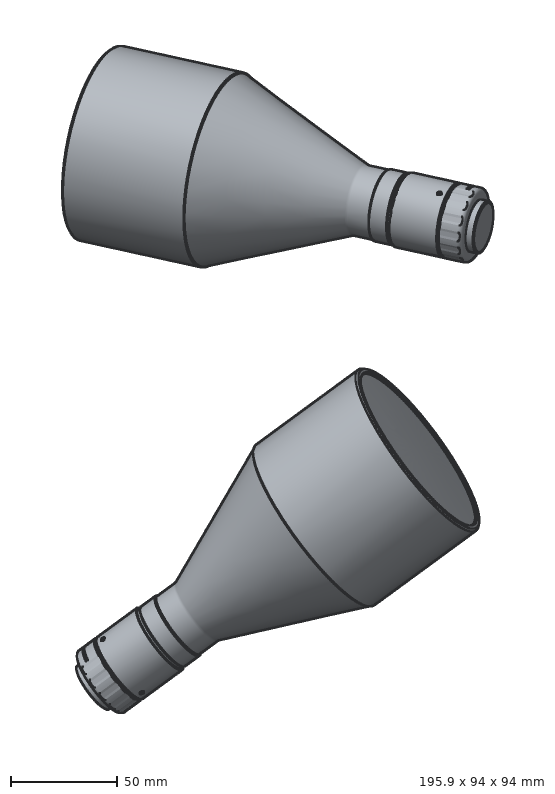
import math

import cadquery as cq

TOTAL_LENGTH = 195.92
BARREL_RADIUS = 47.0

RIM_CHAMFER = 1.0
BARREL_END_X = 62.8
BARREL_END_CHAMFER = 0.5
LENS_RADIUS = 43.8
LENS_EDGE_DEPTH = 1.0
LENS_SAG = 0.7
RECESS_CHAMFER = 0.4

NECK_RADIUS = 17.0
NECK_START_X = 132.9
NECK_BLEND_RADIUS = 3.0

COLLAR_START_X = 144.1
COLLAR_END_X = 153.9
COLLAR_RADIUS = 17.5
COLLAR_START_CHAMFER = 0.6
COLLAR_END_CHAMFER = 0.5

BODY_START_X = 155.4
BODY_END_X = 179.2
BODY_RADIUS = 18.1
GAP_RADIUS = 15.8

RING_START_X = 180.0
RING_CHAMFER = 0.6
RING_END_ROUND = 2.0

MOUNT_RADIUS = 12.7
MOUNT_LENGTH = 4.0
MOUNT_CHAMFER_LENGTH = 0.4
MOUNT_CHAMFER_DROP = 0.9
RING_END_X = TOTAL_LENGTH - MOUNT_LENGTH

FLUTE_COUNT = 10
FLUTE_PITCH = 24.7
FIRST_FLUTE_ANGLE = 4.9
FLUTE_DEPTH = 0.3
FLUTE_FLOOR_WIDTH = 2.4
FLUTE_TOP_WIDTH = 4.6

CLAMP_ANGLE = FIRST_FLUTE_ANGLE + ((FLUTE_COUNT - 1) * FLUTE_PITCH - 360) / 2
SLOT_START_X = 186.3
SLOT_WIDTH = 1.2
SLOT_DEPTH = 2.5
SLOT_HALF_ANGLE = 57.0
SCREW_X = 183.3
SCREW_SEAT_RADIUS = 2.3
SCREW_SEAT_DEPTH = 0.5
SOCKET_WIDTH = 2.0
SOCKET_DEPTH = 1.5

SET_SCREW_COUNT = 3
SET_SCREW_X = 175.6
FIRST_SET_SCREW_ANGLE = 18.0
SET_SCREW_RADIUS = 1.1
SET_SCREW_DEPTH = 1.5

CLEARANCE = 1.0


def turn(shape, angle):
    """Turn a shape about the X axis from +Z towards -Y."""
    return shape.rotate((0, 0, 0), (1, 0, 0), angle)


def turned_body():
    """Whole outline revolved about the X axis."""
    cone_start_radius = BARREL_RADIUS - BARREL_END_CHAMFER
    cone_angle = math.atan2(cone_start_radius - NECK_RADIUS, NECK_START_X - BARREL_END_X)
    tangent_length = NECK_BLEND_RADIUS * math.tan(cone_angle / 2)
    half_angle = cone_angle / 2
    blend_end_x = NECK_START_X + tangent_length
    blend_center_radius = NECK_RADIUS + NECK_BLEND_RADIUS
    blend_start = (
        NECK_START_X - tangent_length * math.cos(cone_angle),
        NECK_RADIUS + tangent_length * math.sin(cone_angle),
    )
    blend_middle = (
        blend_end_x - NECK_BLEND_RADIUS * math.sin(half_angle),
        blend_center_radius - NECK_BLEND_RADIUS * math.cos(half_angle),
    )
    lens_sphere_radius = (LENS_RADIUS**2 + LENS_SAG**2) / (2 * LENS_SAG)
    lens_middle_radius = LENS_RADIUS / 2
    lens_middle_drop = lens_sphere_radius - math.sqrt(lens_sphere_radius**2 - lens_middle_radius**2)
    lens_apex_x = LENS_EDGE_DEPTH - LENS_SAG
    round_middle = RING_END_ROUND * (1 - math.sqrt(0.5))

    outline = (
        cq.Workplane("XY")
        .moveTo(lens_apex_x, 0)
        .threePointArc((lens_apex_x + lens_middle_drop, lens_middle_radius), (LENS_EDGE_DEPTH, LENS_RADIUS))
        .lineTo(RECESS_CHAMFER, LENS_RADIUS)
        .lineTo(0, LENS_RADIUS + RECESS_CHAMFER)
        .lineTo(0, BARREL_RADIUS - RIM_CHAMFER)
        .lineTo(RIM_CHAMFER, BARREL_RADIUS)
        .lineTo(BARREL_END_X - BARREL_END_CHAMFER, BARREL_RADIUS)
        .lineTo(BARREL_END_X, cone_start_radius)
        .lineTo(*blend_start)
        .threePointArc(blend_middle, (blend_end_x, NECK_RADIUS))
        .lineTo(COLLAR_START_X, NECK_RADIUS)
        .lineTo(COLLAR_START_X + COLLAR_START_CHAMFER, COLLAR_RADIUS)
        .lineTo(COLLAR_END_X - COLLAR_END_CHAMFER, COLLAR_RADIUS)
        .lineTo(COLLAR_END_X, COLLAR_RADIUS - COLLAR_END_CHAMFER)
        .lineTo(BODY_START_X, COLLAR_RADIUS - COLLAR_END_CHAMFER)
        .lineTo(BODY_START_X, BODY_RADIUS)
        .lineTo(BODY_END_X, BODY_RADIUS)
        .lineTo(BODY_END_X, GAP_RADIUS)
        .lineTo(RING_START_X, GAP_RADIUS)
        .lineTo(RING_START_X, BODY_RADIUS - RING_CHAMFER)
        .lineTo(RING_START_X + RING_CHAMFER, BODY_RADIUS)
        .lineTo(RING_END_X - RING_END_ROUND, BODY_RADIUS)
        .threePointArc(
            (RING_END_X - round_middle, BODY_RADIUS - round_middle),
            (RING_END_X, BODY_RADIUS - RING_END_ROUND),
        )
        .lineTo(RING_END_X, MOUNT_RADIUS)
        .lineTo(TOTAL_LENGTH - MOUNT_CHAMFER_LENGTH, MOUNT_RADIUS)
        .lineTo(TOTAL_LENGTH, MOUNT_RADIUS - MOUNT_CHAMFER_DROP)
        .lineTo(TOTAL_LENGTH, 0)
        .close()
    )
    return outline.revolve(360, (0, 0, 0), (1, 0, 0))


def grip_flute():
    """Trapezoid groove along the full ring, at the +Z side."""
    ring_length = RING_END_X - RING_START_X
    half_floor = FLUTE_FLOOR_WIDTH / 2
    half_top = FLUTE_TOP_WIDTH / 2
    floor_z = BODY_RADIUS - FLUTE_DEPTH
    edge_z = math.sqrt(BODY_RADIUS**2 - half_top**2)
    wall_slope = (half_top - half_floor) / (edge_z - floor_z)
    mouth_z = BODY_RADIUS + CLEARANCE
    half_mouth = half_floor + wall_slope * (mouth_z - floor_z)
    return (
        cq.Workplane("YZ", origin=(RING_START_X, 0, 0))
        .polyline([
            (-half_floor, floor_z),
            (half_floor, floor_z),
            (half_mouth, mouth_z),
            (-half_mouth, mouth_z),
        ])
        .close()
        .extrude(ring_length)
    )


def clamp_slot():
    """Arc slot across the plain stretch of the ring, centred on the clamp angle."""
    slot_sweep = 2 * SLOT_HALF_ANGLE
    slot = (
        cq.Workplane("XZ")
        .moveTo(SLOT_START_X, BODY_RADIUS - SLOT_DEPTH)
        .lineTo(SLOT_START_X + SLOT_WIDTH, BODY_RADIUS - SLOT_DEPTH)
        .lineTo(SLOT_START_X + SLOT_WIDTH, BODY_RADIUS + CLEARANCE)
        .lineTo(SLOT_START_X, BODY_RADIUS + CLEARANCE)
        .close()
        .revolve(slot_sweep, (0, 0, 0), (1, 0, 0))
    )
    return turn(slot, CLAMP_ANGLE - SLOT_HALF_ANGLE)


def clamp_screw_seat():
    """Round seat with a hexagon socket in its floor."""
    seat_z = BODY_RADIUS - SCREW_SEAT_DEPTH
    seat = (
        cq.Workplane("XY", origin=(SCREW_X, 0, seat_z))
        .circle(SCREW_SEAT_RADIUS)
        .extrude(SCREW_SEAT_DEPTH + CLEARANCE)
    )
    socket = (
        cq.Workplane("XY", origin=(SCREW_X, 0, seat_z))
        .polygon(6, SOCKET_WIDTH, circumscribed=True)
        .extrude(-SOCKET_DEPTH)
    )
    return turn(seat.union(socket), CLAMP_ANGLE)


def set_screw_hole():
    """Blind radial hole in the rear body, at the +Z side."""
    return (
        cq.Workplane("XY", origin=(SET_SCREW_X, 0, BODY_RADIUS - SET_SCREW_DEPTH))
        .circle(SET_SCREW_RADIUS)
        .extrude(SET_SCREW_DEPTH + CLEARANCE)
    )


result = turned_body()

for flute_index in range(FLUTE_COUNT):
    result = result.cut(turn(grip_flute(), FIRST_FLUTE_ANGLE + flute_index * FLUTE_PITCH))

result = result.cut(clamp_slot())
result = result.cut(clamp_screw_seat())

for screw_index in range(SET_SCREW_COUNT):
    screw_angle = FIRST_SET_SCREW_ANGLE + screw_index * 360 / SET_SCREW_COUNT
    result = result.cut(turn(set_screw_hole(), screw_angle))